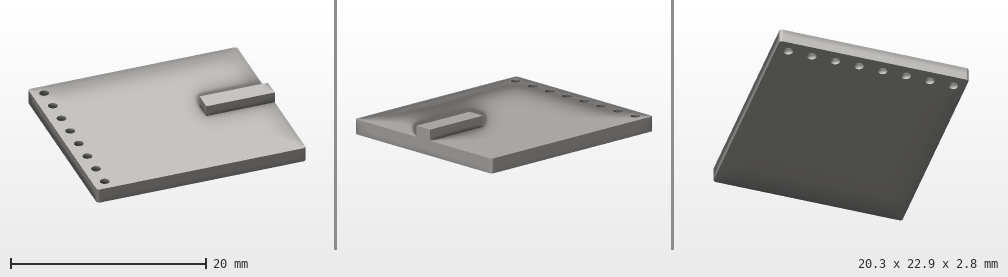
import cadquery as cq

plate_width = 20.32
plate_length = 22.85
plate_thickness = 1.6
corner_radius = 0.3

total_height = 2.8
bar_width = 2.0
bar_length = 7.5
bar_height = total_height - plate_thickness

hole_count = 8
hole_pitch = 2.54
hole_diameter = 1.0
hole_edge_distance = 1.3


def make_plate():
    """Flat plate with rounded vertical corners, bottom face at Z = 0."""
    plate = cq.Workplane("XY").box(
        plate_width, plate_length, plate_thickness, centered=(True, True, False)
    )
    return plate.edges("|Z").fillet(corner_radius)


def make_bar():
    """Rectangular bar standing on the plate, centred in X."""
    bar_center_y = (plate_length - bar_length) / 2
    return (
        cq.Workplane("XY")
        .workplane(offset=plate_thickness)
        .center(0, bar_center_y)
        .rect(bar_width, bar_length)
        .extrude(bar_height)
    )


def make_hole_row():
    """Evenly spaced cylinders that cut the holes through the plate."""
    row_y = hole_edge_distance - plate_length / 2
    return (
        cq.Workplane("XY")
        .center(0, row_y)
        .rarray(hole_pitch, 0.23, hole_count, 1)
        .circle(hole_diameter / 2)
        .extrude(plate_thickness)
    )


result = make_plate().cut(make_hole_row()).union(make_bar())